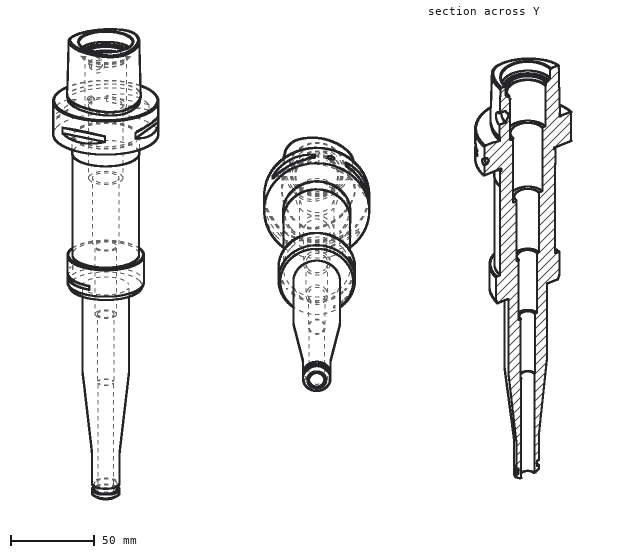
import cadquery as cq
import math

total_height = 294.0
shank_height = 38.0
flange_thickness = 22.0
relief_height = 1.2
body_length = 78.0
upper_body_length = 12.3
collar_height = 20.3
shaft_length = 56.0
cone_length = 53.0
tip_groove_top = 8.0
tip_groove_bottom = 4.0
tip_rim_bottom = 1.8

flange_top = total_height - shank_height
flange_bottom = flange_top - flange_thickness
upper_body_bottom = flange_bottom - upper_body_length
collar_top = flange_bottom - body_length
collar_bottom = collar_top - collar_height
cone_top = collar_bottom - shaft_length
cone_bottom = cone_top - cone_length

flange_diameter = 63.0
relief_diameter = 38.5
body_diameter = 40.0
upper_body_diameter = 40.3
collar_diameter = 46.0
shaft_diameter = 28.0
tip_diameter = 16.5
tip_groove_diameter = 13.5
tip_end_diameter = 11.2

edge_chamfer = 0.5
shank_chamfer = 1.0
collar_chamfer_width = 1.2
collar_chamfer_height = 2.5

shank_mean_radius = 22.0
shank_eccentricity = 1.32
shank_taper = 1 / 40
lobe_half_angle = 27.5
neck_height = 1.8
neck_inset = 0.45

foot_recess_diameter = 49.5
foot_recess_floor_diameter = 45.3
foot_recess_depth = 0.5

mouth_diameter = 33.0
mouth_depth = 0.3
entry_diameter = 32.0
entry_depth = 6.8
seat_diameter = 29.0
seat_cone_depth = 7.5
seat_depth = 8.8
lip_diameter = 26.2
lip_depth = 11.2
main_bore_diameter = 25.0
main_bore_depth = 41.2
middle_bore_diameter = 20.5
middle_bore_depth = 88.2
lower_bore_diameter = 16.0
lower_bore_depth = 132.3
coolant_bore_diameter = 13.0
coolant_bore_depth = 176.5
nozzle_diameter = 10.0
nozzle_depth = 220.5
through_diameter = 9.0

shank_hole_diameter = 8.2
shank_hole_drop = 22.5
shank_hole_bottom = 16.2
flange_hole_diameter = 4.0
flange_hole_bottom = 29.5
drill_point_angle = 118.0

gripper_drop = 12.0
gripper_floor_distance = 28.0
gripper_floor_height = 3.5
gripper_mouth_height = 7.5

label_width = 33.5
label_height = 2.4
label_depth = 0.3
label_rise = 7.4


def turned_body():
    """Revolved outside of everything below the shank."""
    flange_radius = flange_diameter / 2
    collar_radius = collar_diameter / 2
    profile = [
        (0, 0),
        (tip_end_diameter / 2, 0),
        (tip_diameter / 2, tip_rim_bottom),
        (tip_diameter / 2, tip_groove_bottom),
        (tip_groove_diameter / 2, tip_groove_bottom),
        (tip_groove_diameter / 2, tip_groove_top),
        (tip_diameter / 2, tip_groove_top),
        (tip_diameter / 2, cone_bottom),
        (shaft_diameter / 2, cone_top),
        (shaft_diameter / 2, collar_bottom),
        (collar_radius - collar_chamfer_width, collar_bottom),
        (collar_radius, collar_bottom + collar_chamfer_height),
        (collar_radius, collar_top - edge_chamfer),
        (collar_radius - edge_chamfer, collar_top),
        (body_diameter / 2, collar_top),
        (body_diameter / 2, upper_body_bottom),
        (upper_body_diameter / 2, upper_body_bottom),
        (upper_body_diameter / 2, flange_bottom - relief_height),
        (relief_diameter / 2, flange_bottom - relief_height),
        (relief_diameter / 2, flange_bottom),
        (flange_radius, flange_bottom),
        (flange_radius, flange_top - edge_chamfer),
        (flange_radius - edge_chamfer, flange_top),
        (foot_recess_diameter / 2, flange_top),
        (foot_recess_floor_diameter / 2, flange_top - foot_recess_depth),
        (0, flange_top - foot_recess_depth),
    ]
    return cq.Workplane("XZ").polyline(profile).close().revolve(360, (0, 0), (0, 1))


def polygon_point(mean_radius, angle_degrees):
    """Point of the three-lobed curve whose outward normal has the given angle."""
    angle = math.radians(angle_degrees)
    reach = mean_radius + shank_eccentricity * math.cos(3 * angle)
    slope = -3 * shank_eccentricity * math.sin(3 * angle)
    x = reach * math.cos(angle) - slope * math.sin(angle)
    y = reach * math.sin(angle) + slope * math.cos(angle)
    return (x, y)


def polygon_section(mean_radius, height):
    """Closed wire of alternating lobe and side arcs at one height."""
    wire = cq.Workplane("XY", origin=(0, 0, height))
    wire = wire.moveTo(*polygon_point(mean_radius, -lobe_half_angle))
    for lobe_angle in (0, 120, 240):
        lobe_end = lobe_angle + lobe_half_angle
        next_lobe_start = lobe_angle + 120 - lobe_half_angle
        wire = wire.threePointArc(
            polygon_point(mean_radius, lobe_angle), polygon_point(mean_radius, lobe_end)
        )
        wire = wire.threePointArc(
            polygon_point(mean_radius, lobe_angle + 60), polygon_point(mean_radius, next_lobe_start)
        )
    return wire.close()


def shank():
    """Tapered three-lobed shank on a slightly narrower neck."""
    foot = flange_top - foot_recess_depth
    taper_start = flange_top + neck_height
    taper_length = total_height - taper_start
    top_radius = shank_mean_radius - taper_length * shank_taper
    neck = polygon_section(shank_mean_radius - neck_inset, foot).extrude(taper_start - foot)
    wires = [
        polygon_section(shank_mean_radius, taper_start).val(),
        polygon_section(top_radius, total_height).val(),
    ]
    taper = cq.Workplane(cq.Solid.makeLoft(wires, True))
    return neck.union(taper.faces(">Z").chamfer(shank_chamfer))


def stepped_bore():
    """Bore that narrows from the shank mouth to the nose tip."""
    seat_radius = seat_diameter / 2
    profile = [
        (0, 0),
        (mouth_diameter / 2, 0),
        (entry_diameter / 2, -mouth_depth),
        (entry_diameter / 2, -entry_depth),
        (seat_radius, -seat_cone_depth),
        (seat_radius, -seat_depth),
    ]
    steps = [
        (lip_diameter, seat_depth, lip_depth),
        (main_bore_diameter, lip_depth, main_bore_depth),
        (middle_bore_diameter, main_bore_depth, middle_bore_depth),
        (lower_bore_diameter, middle_bore_depth, lower_bore_depth),
        (coolant_bore_diameter, lower_bore_depth, coolant_bore_depth),
        (nozzle_diameter, coolant_bore_depth, nozzle_depth),
        (through_diameter, nozzle_depth, total_height),
    ]
    for diameter, start_depth, end_depth in steps:
        profile.append((diameter / 2, -start_depth))
        profile.append((diameter / 2, -end_depth))
    profile.append((0, -total_height))
    plane = cq.Workplane("XZ", origin=(0, 0, total_height))
    return plane.polyline(profile).close().revolve(360, (0, 0), (0, 1))


def drilled_hole(diameter, bottom_distance, height):
    """Radial hole from the -X side; its wall ends at a distance from the axis, in a drill point."""
    radius = diameter / 2
    point_depth = radius / math.tan(math.radians(drill_point_angle / 2))
    outline = [
        (-flange_diameter / 2, 0),
        (-flange_diameter / 2, radius),
        (-bottom_distance, radius),
        (point_depth - bottom_distance, 0),
    ]
    plane = cq.Workplane("XZ", origin=(0, 0, height))
    return plane.polyline(outline).close().revolve(360, (0, 0), (1, 0))


def gripper_grooves():
    """Four straight trapezoidal grooves across the rim, on the diagonals."""
    floor_half = gripper_floor_height / 2
    mouth_half = gripper_mouth_height / 2
    outline = [
        (gripper_floor_distance, -floor_half),
        (flange_diameter / 2, -mouth_half),
        (flange_diameter / 2, mouth_half),
        (gripper_floor_distance, floor_half),
    ]
    plane = cq.Workplane("XZ", origin=(0, 0, flange_top - gripper_drop))
    groove = plane.polyline(outline).close().extrude(flange_diameter / 2, both=True)
    grooves = cq.Workplane("XY")
    for angle in (45, 135, 225, 315):
        grooves = grooves.union(groove.rotate((0, 0, 0), (0, 0, 1), angle))
    return grooves


def label_pocket():
    """Thin pocket that follows the collar surface."""
    radius = collar_diameter / 2
    band = (
        cq.Workplane("XY", origin=(0, 0, collar_bottom + label_rise - label_height / 2))
        .circle(radius)
        .circle(radius - label_depth)
        .extrude(label_height)
    )
    window = cq.Workplane("XY", origin=(0, -radius / 2, collar_bottom + label_rise))
    return band.intersect(window.box(label_width, radius, label_height))


result = turned_body().union(shank())
result = result.cut(stepped_bore())
shank_hole_height = total_height - shank_hole_drop
result = result.cut(drilled_hole(shank_hole_diameter, shank_hole_bottom, shank_hole_height))
flange_hole_height = flange_top - gripper_drop
result = result.cut(drilled_hole(flange_hole_diameter, flange_hole_bottom, flange_hole_height))
result = result.cut(gripper_grooves())
result = result.cut(label_pocket())